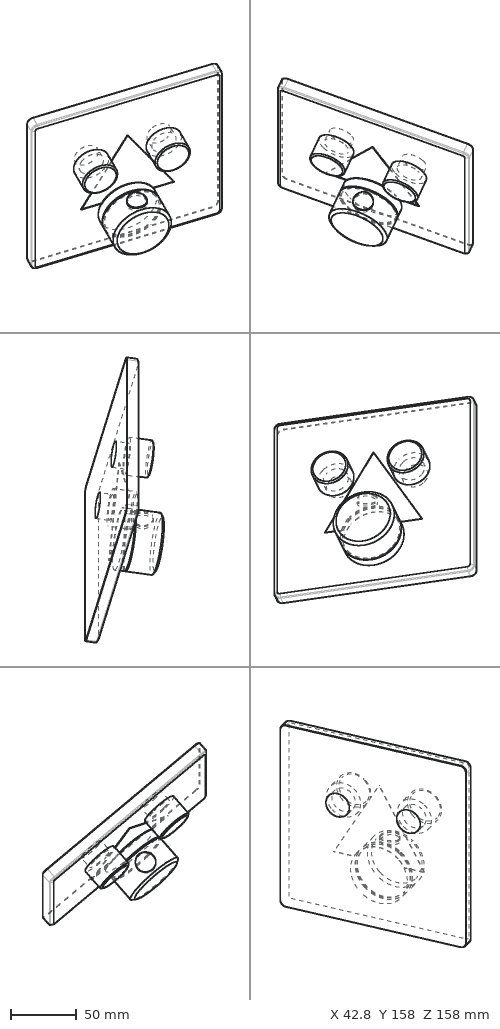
import cadquery as cq
import math

plate_size = 157.96
plate_thickness = 10.0
plate_corner_radius = 5.0
plate_bevel_depth = 1.4
plate_bevel_width = 2.8
plate_bevel_round = 1.0
plate_back_chamfer = 0.4

triangle_top_z = 39.5
triangle_base_z = -27.0
triangle_thickness = 0.5

small_knob_radius = 14.5
small_knob_end_x = 28.7
small_knob_bevel_depth = 1.0
small_knob_bevel_width = 1.5
shank_radius = 10.0
small_knob_spacing = 60.0
small_knob_z = 20.0

dial_radius = 24.09
dial_z = -38.5
collar_end_x = 17.9
neck_radius = 22.6
head_start_x = 18.7
head_shoulder_x = 39.2
head_rim_x = 41.1
head_rim_radius = 21.4
dome_top_x = 42.81

button_radius = 7.8
button_x = 29.1
button_rise = 1.15
button_seat_depth = 2.0

small_knob_places = [(side * small_knob_spacing / 2, small_knob_z) for side in (-1, 1)]
button_top_radius = dial_radius + button_rise
button_seat_radius = dial_radius - button_seat_depth


def rod(radius, start_x, end_x, y, z):
    """Cylinder along X."""
    return cq.Workplane("YZ", origin=(start_x, y, z)).circle(radius).extrude(end_x - start_x)


def make_plate():
    """Square wall plate with rounded corners, a bevelled front and a bore for each small knob shank."""
    plate = (
        cq.Workplane("YZ")
        .rect(plate_size, plate_size)
        .extrude(plate_thickness)
        .edges("|X")
        .fillet(plate_corner_radius)
        .faces(">X")
        .chamfer(plate_bevel_depth, plate_bevel_width)
    )
    bevel_start_x = plate_thickness - plate_bevel_depth
    slice_half = plate_bevel_depth / 10
    bevel_edges = cq.selectors.BoxSelector(
        (bevel_start_x - slice_half, -plate_size, -plate_size),
        (bevel_start_x + slice_half, plate_size, plate_size),
        boundingbox=True,
    )
    plate = plate.edges(bevel_edges).fillet(plate_bevel_round)
    plate = plate.faces("<X").chamfer(plate_back_chamfer)
    for y, z in small_knob_places:
        plate = plate.cut(rod(shank_radius, 0, plate_thickness, y, z))
    return plate


def make_triangle():
    """Thin equilateral triangle on the plate face, notched where the dial stands on the plate."""
    half_base = (triangle_top_z - triangle_base_z) / math.sqrt(3)
    triangle = (
        cq.Workplane("YZ", origin=(plate_thickness, 0, 0))
        .moveTo(0, triangle_top_z)
        .lineTo(-half_base, triangle_base_z)
        .lineTo(half_base, triangle_base_z)
        .close()
        .extrude(triangle_thickness)
    )
    return triangle.cut(rod(dial_radius, plate_thickness, plate_thickness + triangle_thickness, 0, dial_z))


def make_small_knob(y, z):
    """Push knob with a thinner shank that ends flush with the back of the plate."""
    knob = rod(small_knob_radius, plate_thickness, small_knob_end_x, y, z)
    knob = knob.faces(">X").chamfer(small_knob_bevel_depth, small_knob_bevel_width)
    return knob.union(rod(shank_radius, 0, plate_thickness, y, z))


def make_collar():
    """Fixed ring of the dial, with the narrower neck that carries the head."""
    collar = rod(dial_radius, plate_thickness, collar_end_x, 0, dial_z)
    return collar.union(rod(neck_radius, collar_end_x, head_start_x, 0, dial_z))


def make_button():
    """Round button in the top of the head, its end curved concentrically with the head."""
    blank = (
        cq.Workplane("XY", origin=(button_x, 0, dial_z))
        .circle(button_radius)
        .extrude(dial_radius + 2 * button_rise)
    )
    start_x = button_x - 2 * button_radius
    end_x = button_x + 2 * button_radius
    shell = rod(button_top_radius, start_x, end_x, 0, dial_z)
    shell = shell.cut(rod(button_seat_radius, start_x, end_x, 0, dial_z))
    return blank.intersect(shell)


def make_head(button):
    """Turning head of the dial with a bevelled shoulder, a shallow dome and a button recess."""
    dome_sag = dome_top_x - head_rim_x
    dome_radius = (head_rim_radius**2 + dome_sag**2) / (2 * dome_sag)
    mid_radius = head_rim_radius / 2
    mid_x = dome_top_x - dome_radius + math.sqrt(dome_radius**2 - mid_radius**2)
    head = (
        cq.Workplane("XY")
        .moveTo(head_start_x, 0)
        .lineTo(head_start_x, dial_radius)
        .lineTo(head_shoulder_x, dial_radius)
        .lineTo(head_rim_x, head_rim_radius)
        .threePointArc((mid_x, mid_radius), (dome_top_x, 0))
        .close()
        .revolve(360, (0, 0, 0), (1, 0, 0))
        .translate((0, 0, dial_z))
    )
    return head.cut(button)


plate = make_plate()
triangle = make_triangle()
small_knobs = [make_small_knob(y, z) for y, z in small_knob_places]
collar = make_collar()
button = make_button()
head = make_head(button)

result = cq.Compound.makeCompound(
    [
        plate.val(),
        triangle.val(),
        *[knob.val() for knob in small_knobs],
        collar.val(),
        head.val(),
        button.val(),
    ]
)